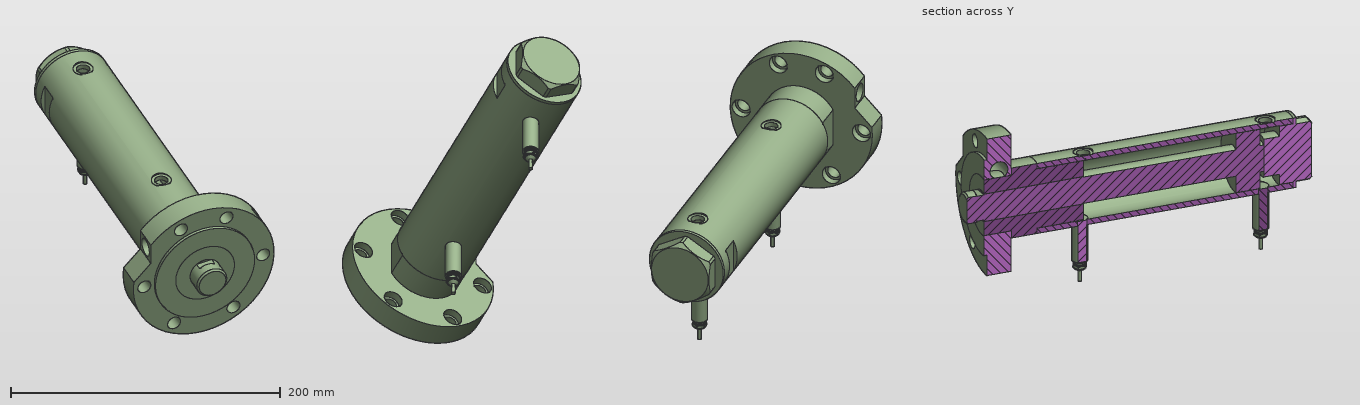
import cadquery as cq
import math

HEX_END = 12.7
COLLAR_END = 15.2
BARREL_END = 219.9
FLANGE_START = 240.5
FLANGE_END = 260.0
REGISTER_END = 262.5
ROD_END = 276.2

BARREL_RADIUS = 29.5
BORE_RADIUS = 24.9
REAR_FLAT_START = 25.0
REAR_FLAT_END = 40.3
REAR_FLAT_OFFSET = 26.5

PORT_POSITIONS = (35.4, 181.0)
PORT_RADIUS = 5.0
SPOTFACE_RADIUS = 7.5
SPOTFACE_HEIGHT = 28.5

HEX_ACROSS_FLATS = 46.0
HEX_CORNER_RADIUS = 26.0
HEX_END_RADIUS = 22.6
PLUG_SEAT_END = 26.2
PLUG_NOSE_END = 38.7
PLUG_NOSE_RADIUS = 16.5

HEAD_NOSE_START = 182.5
HEAD_SPIGOT_RADIUS = 23.8
HEAD_FLAT_OFFSET = 25.5

FLANGE_RADIUS = 57.0
REGISTER_RADIUS = 40.0
NOTCH_OFFSET = 42.8
NOTCH_CORNER_HEIGHT = 20.5
CROSS_HOLE_RADIUS = 7.0
CROSS_HOLE_HEIGHT = 28.7
BOLT_CIRCLE_RADIUS = 48.0
BOLT_ANGLES = (0, 67.5, 112.5, 180, 240, 300)
BOLT_HOLE_RADIUS = 5.2
COUNTERBORE_RADIUS = 7.2
COUNTERBORE_DEPTH = 6.0

ROD_RADIUS = 12.2
PISTON_START = 41.5
PISTON_END = 60.8
ROD_FLAT_OFFSET = 10.5
ROD_FLAT_END = 268.0
ROD_CHAMFER = 1.5
ROD_ROLL = 4.0

SENSOR_POSITIONS = (39.0, 183.7)
SENSOR_RADIUS = 6.0
SENSOR_BODY_END = 59.5
SENSOR_NECK_RADIUS = 4.1
SENSOR_RIM_RADIUS = 5.0
SENSOR_RIM_THICKNESS = 0.8
NUT_START = 62.7
NUT_END = 65.5
NUT_ACROSS_FLATS = 9.7
NUT_CHAMFER = 0.8
CONE_START = 66.3
CONE_END = 68.0
CABLE_RADIUS = 1.5
CABLE_END = 76.8


def rod_along_x(radius, start, end):
    """Solid cylinder on the X axis between two stations."""
    return cq.Workplane("YZ", origin=(start, 0, 0)).circle(radius).extrude(end - start)


def slab(start, end, offset):
    """Block between two stations whose flat sides lie at +offset and -offset in Y."""
    height = 2 * FLANGE_RADIUS
    return cq.Workplane("XY").box(end - start, 2 * offset, height).translate(((start + end) / 2, 0, 0))


def cut_wrench_flats(body, start, end, offset):
    """Leave only the part between the two flats over the given length."""
    waste = rod_along_x(FLANGE_RADIUS, start, end).cut(slab(start, end, offset))
    return body.cut(waste)


def hexagon_prism(plane, origin, across_flats, length):
    corner_diameter = across_flats / math.cos(math.pi / 6)
    return cq.Workplane(plane, origin=origin).polygon(6, corner_diameter).extrude(length)


def make_plug():
    chamfer = HEX_CORNER_RADIUS - HEX_END_RADIUS
    hexagon = hexagon_prism("YZ", (0, 0, 0), HEX_ACROSS_FLATS, HEX_END).rotate((0, 0, 0), (1, 0, 0), 90)
    envelope = rod_along_x(HEX_CORNER_RADIUS, 0, HEX_END).faces("<X").chamfer(chamfer)
    plug = hexagon.intersect(envelope)
    plug = plug.union(rod_along_x(BARREL_RADIUS, HEX_END, COLLAR_END))
    plug = plug.union(rod_along_x(BORE_RADIUS, COLLAR_END, PLUG_SEAT_END))
    return plug.union(rod_along_x(PLUG_NOSE_RADIUS, PLUG_SEAT_END, PLUG_NOSE_END))


def make_barrel():
    barrel = rod_along_x(BARREL_RADIUS, COLLAR_END, BARREL_END)
    barrel = barrel.cut(rod_along_x(BORE_RADIUS, COLLAR_END, BARREL_END))
    barrel = cut_wrench_flats(barrel, REAR_FLAT_START, REAR_FLAT_END, REAR_FLAT_OFFSET)
    for x in PORT_POSITIONS:
        port = cq.Workplane("XY", origin=(x, 0, 0)).circle(PORT_RADIUS).extrude(BARREL_RADIUS)
        spotface = cq.Workplane("XY", origin=(x, 0, SPOTFACE_HEIGHT)).circle(SPOTFACE_RADIUS)
        barrel = barrel.cut(port).cut(spotface.extrude(BARREL_RADIUS - SPOTFACE_HEIGHT))
    for x in SENSOR_POSITIONS:
        socket = cq.Workplane("XY", origin=(x, 0, 0)).circle(SENSOR_RADIUS).extrude(-BARREL_RADIUS)
        barrel = barrel.cut(socket)
    return barrel


def make_head():
    neck = rod_along_x(BARREL_RADIUS, BARREL_END, FLANGE_START)
    head = cut_wrench_flats(neck, BARREL_END, FLANGE_START, HEAD_FLAT_OFFSET)
    head = head.union(rod_along_x(BORE_RADIUS, HEAD_NOSE_START, BARREL_END))
    head = head.union(rod_along_x(HEAD_SPIGOT_RADIUS, FLANGE_START, REGISTER_END))
    return head.cut(rod_along_x(ROD_RADIUS, HEAD_NOSE_START, REGISTER_END))


def make_flange():
    flange = rod_along_x(FLANGE_RADIUS, FLANGE_START, FLANGE_END)

    thickness = FLANGE_END - FLANGE_START
    slope_reach = FLANGE_RADIUS - NOTCH_OFFSET
    notch = (
        cq.Workplane("YZ", origin=(FLANGE_START, 0, 0))
        .moveTo(-NOTCH_OFFSET, FLANGE_RADIUS)
        .lineTo(-NOTCH_OFFSET, NOTCH_CORNER_HEIGHT)
        .lineTo(-FLANGE_RADIUS, NOTCH_CORNER_HEIGHT - slope_reach)
        .lineTo(-FLANGE_RADIUS, FLANGE_RADIUS)
        .close()
        .extrude(thickness)
    )
    flange = flange.cut(notch)

    for angle in BOLT_ANGLES:
        y = BOLT_CIRCLE_RADIUS * math.cos(math.radians(angle))
        z = BOLT_CIRCLE_RADIUS * math.sin(math.radians(angle))
        hole = rod_along_x(BOLT_HOLE_RADIUS, FLANGE_START, FLANGE_END)
        counterbore = rod_along_x(COUNTERBORE_RADIUS, FLANGE_START, FLANGE_START + COUNTERBORE_DEPTH)
        flange = flange.cut(hole.union(counterbore).translate((0, y, z)))

    middle = (FLANGE_START + FLANGE_END) / 2
    cross_hole = cq.Workplane("XZ", origin=(middle, 0, CROSS_HOLE_HEIGHT)).circle(CROSS_HOLE_RADIUS)
    flange = flange.cut(cross_hole.extrude(FLANGE_RADIUS, both=True))

    flange = flange.union(rod_along_x(REGISTER_RADIUS, FLANGE_END, REGISTER_END))
    return flange.cut(rod_along_x(HEAD_SPIGOT_RADIUS, FLANGE_START, REGISTER_END))


def make_piston_rod():
    rod = rod_along_x(ROD_RADIUS, PLUG_NOSE_END, ROD_END).faces(">X").chamfer(ROD_CHAMFER)
    rod = cut_wrench_flats(rod, REGISTER_END, ROD_FLAT_END, ROD_FLAT_OFFSET)
    rod = rod.rotate((0, 0, 0), (1, 0, 0), 90 + ROD_ROLL)
    return rod.union(rod_along_x(BORE_RADIUS, PISTON_START, PISTON_END))


def make_sensor(x):
    neck_start = SENSOR_BODY_END + SENSOR_RIM_THICKNESS
    neck_end = NUT_START - SENSOR_RIM_THICKNESS
    profile = [
        (0, -BORE_RADIUS),
        (SENSOR_RADIUS, -BORE_RADIUS),
        (SENSOR_RADIUS, -SENSOR_BODY_END),
        (SENSOR_RIM_RADIUS, -SENSOR_BODY_END),
        (SENSOR_RIM_RADIUS, -neck_start),
        (SENSOR_NECK_RADIUS, -neck_start),
        (SENSOR_NECK_RADIUS, -neck_end),
        (SENSOR_RIM_RADIUS, -neck_end),
        (SENSOR_RIM_RADIUS, -NUT_START),
        (SENSOR_NECK_RADIUS, -NUT_START),
        (SENSOR_NECK_RADIUS, -CONE_START),
        (CABLE_RADIUS, -CONE_END),
        (CABLE_RADIUS, -CABLE_END),
        (0, -CABLE_END),
    ]
    sensor = cq.Workplane("XZ").polyline(profile).close().revolve(360, (0, 0), (0, 1))
    nut_corner_radius = NUT_ACROSS_FLATS / 2 / math.cos(math.pi / 6)
    nut = hexagon_prism("XY", (0, 0, -NUT_END), NUT_ACROSS_FLATS, NUT_END - NUT_START)
    envelope = cq.Workplane("XY", origin=(0, 0, -NUT_END)).circle(nut_corner_radius)
    envelope = envelope.extrude(NUT_END - NUT_START).edges().chamfer(NUT_CHAMFER)
    return sensor.union(nut.intersect(envelope)).translate((x, 0, 0))


plug = make_plug()
barrel = make_barrel()
head = make_head()
flange = make_flange()
piston_rod = make_piston_rod()
sensors = [make_sensor(x) for x in SENSOR_POSITIONS]

result = cq.Compound.makeCompound(
    [
        plug.val(),
        barrel.val(),
        head.val(),
        flange.val(),
        piston_rod.val(),
        *[sensor.val() for sensor in sensors],
    ]
)